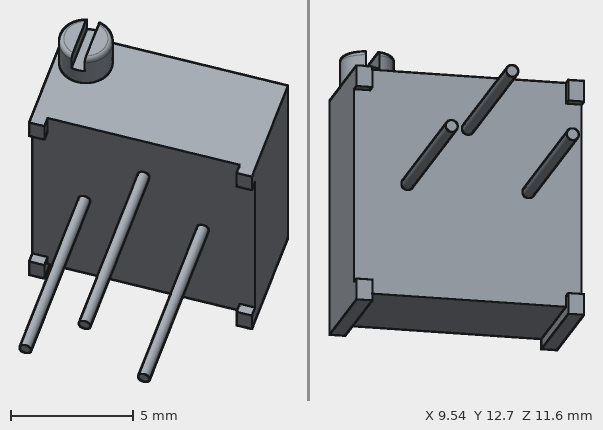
import cadquery as cq

housing_width = 9.54
housing_height = 10.02
overall_depth = 12.68

housing_depth = 4.98
foot_depth = 0.45
foot_width = 0.66
foot_height = 0.89
rail_height = 0.43
block_depth = housing_depth - foot_depth
front_y = -block_depth

screw_diameter = 2.2
screw_height = 1.53
screw_inset = 1.28
screw_edge_radius = 0.2
slot_width = 0.56
slot_depth = 0.75
screw_x = screw_inset - housing_width / 2
screw_y = -screw_inset

pin_diameter = 0.51
pin_pitch = 2.54
middle_pin_drop = 2.26
pin_length = overall_depth - block_depth
middle_pin_z = housing_height - middle_pin_drop
outer_pin_z = middle_pin_z - pin_pitch
pin_centres = [(-pin_pitch, outer_pin_z), (0, middle_pin_z), (pin_pitch, outer_pin_z)]


def corner_box(x, y, z, width, depth, height):
    """Box with its lowest-coordinate corner at (x, y, z)."""
    return cq.Workplane("XY").box(width, depth, height, centered=False).translate((x, y, z))


def make_housing():
    left_x = -housing_width / 2
    right_foot_x = housing_width / 2 - foot_width
    block_height = housing_height - rail_height
    housing = corner_box(left_x, front_y, rail_height, housing_width, block_depth, block_height)
    for x in (left_x, right_foot_x):
        housing = housing.union(corner_box(x, -housing_depth, 0, foot_width, housing_depth, rail_height))
        for z in (0, housing_height - foot_height):
            housing = housing.union(corner_box(x, -housing_depth, z, foot_width, foot_depth, foot_height))
    return housing.clean()


def make_screw():
    screw = cq.Workplane("XY").circle(screw_diameter / 2).extrude(screw_height)
    screw = screw.faces(">Z").edges().fillet(screw_edge_radius)
    slot = corner_box(
        -slot_width / 2, -screw_diameter / 2, screw_height - slot_depth,
        slot_width, screw_diameter, slot_depth,
    )
    return screw.cut(slot).translate((screw_x, screw_y, housing_height))


def make_pin(x, z):
    """Round pin running forward from the front face of the block."""
    pin = cq.Workplane("XZ").circle(pin_diameter / 2).extrude(pin_length)
    return pin.translate((x, front_y, z))


housing = make_housing()
screw = make_screw()
pins = [make_pin(x, z).val() for x, z in pin_centres]

result = cq.Compound.makeCompound([housing.val(), screw.val(), *pins])